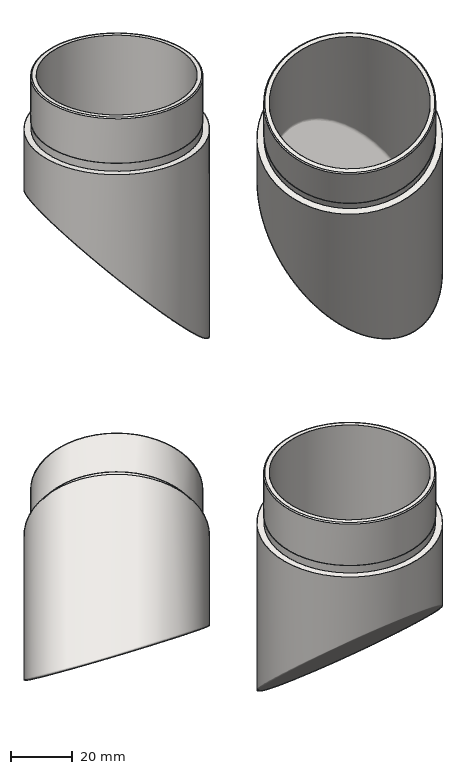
import cadquery as cq
import math

total_height = 100.4
body_diameter = 60.3
spigot_diameter = 56.0
groove_diameter = 55.8
bore_diameter = 52.3
spigot_height = 20.1
groove_width = 3.0
rim_chamfer = 0.4
slant_edge_radius = 0.5
floor_fillet = 1.0

shoulder_z = total_height - spigot_height
floor_thickness = (body_diameter - bore_diameter) / 2

sharp_tip_z = -slant_edge_radius * math.sqrt(2)
end_axis_z = sharp_tip_z + body_diameter / 2
floor_axis_z = end_axis_z + floor_thickness * math.sqrt(2)


def slant_ended_cylinder(diameter, top_z, slant_axis_z, edge_radius):
    """Vertical cylinder whose lower end slants at 45 degrees, falling toward +Y, with a rounded edge.

    slant_axis_z is the height at which the slanted end crosses the cylinder axis.
    """
    radius = diameter / 2
    high_z = slant_axis_z + radius
    low_z = slant_axis_z - radius
    cylinder = cq.Workplane("XY", origin=(0, 0, low_z)).circle(radius).extrude(top_z - low_z)
    below_slant = (
        cq.Workplane("YZ")
        .polyline([(-radius, high_z), (radius, low_z), (-radius, low_z)])
        .close()
        .extrude(radius, both=True)
    )
    slant_face = cq.selectors.DirectionMinMaxSelector(cq.Vector(0, 1, 1), directionMax=False)
    return cylinder.cut(below_slant).faces(slant_face).edges().fillet(edge_radius)


def grooved_spigot():
    """Round spigot with a relief groove at its foot and a chamfered rim."""
    foot = cq.Workplane("XY", origin=(0, 0, shoulder_z)).circle(groove_diameter / 2).extrude(groove_width)
    spigot = foot.faces(">Z").workplane().circle(spigot_diameter / 2).extrude(spigot_height - groove_width)
    return spigot.faces(">Z").edges().chamfer(rim_chamfer)


body = slant_ended_cylinder(body_diameter, shoulder_z, end_axis_z, slant_edge_radius)

bore = slant_ended_cylinder(bore_diameter, total_height, floor_axis_z, floor_fillet)

result = body.union(grooved_spigot()).cut(bore)